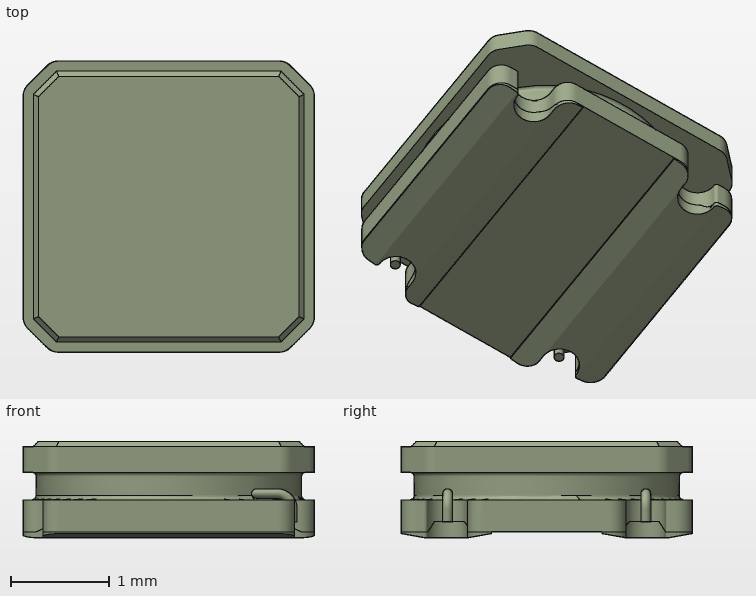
import cadquery as cq
import math


width = 2.95
half = width / 2
pad_bottom = 0.0
core_bottom = 0.062
lower_top = 0.385
upper_bottom = 0.665
upper_top = 0.925
face_top = 0.98
corner_radius = 0.162

upper_cut = 0.29
ledge = 0.103
face_cut = 0.235
face_chamfer = face_top - upper_top

notch_x = 1.24
notch_y = 1.003
notch_radius = 0.2
end_lobe_x = 1.275

post_diameter = 1.55
coil_bore = 1.6
wire_radius = 0.05
wire_gap = 0.012
wire_z = lower_top + wire_gap + wire_radius
coil_diameter = 2 * (notch_y + wire_radius)
ring_diameter = 2.69
flare = 0.04
lead_x = notch_x + 0.012
lead_bend = 0.153
lead_end = 0.162

pad_inner_y = 0.558
pad_flat = 0.42
pad_edge_z = 0.045
tab_top = 0.168
tab_thickness = 0.045
tab_top_y = 1.135
tab_top_x = 1.115
tab_foot_x = 1.342


def mirrored_quarters(quarter):
    """Join a solid in the +X +Y quarter with its mirror images."""
    pair = quarter.union(quarter.mirror("YZ"))
    return pair.union(pair.mirror("XZ")).clean()


def arc_middle(center_x, center_y, radius, degrees):
    angle = math.radians(degrees)
    return (center_x + radius * math.cos(angle), center_y + radius * math.sin(angle))


def lower_quarter(bottom, top):
    """Quarter of the lower flange outline, with its lead notch."""
    side_y = notch_y - notch_radius
    far_y = notch_y + notch_radius
    lip = end_lobe_x - notch_x
    side_center = (half - corner_radius, side_y - corner_radius)
    end_center = (end_lobe_x - corner_radius, half - corner_radius)
    return (
        cq.Workplane("XY", origin=(0, 0, bottom))
        .lineTo(half, 0)
        .lineTo(half, side_center[1])
        .threePointArc(arc_middle(*side_center, corner_radius, 45), (side_center[0], side_y))
        .lineTo(notch_x, side_y)
        .threePointArc((notch_x - notch_radius, notch_y), (notch_x, far_y))
        .threePointArc(arc_middle(notch_x, far_y + lip, lip, -45), (end_lobe_x, far_y + lip))
        .lineTo(end_lobe_x, end_center[1])
        .threePointArc(arc_middle(*end_center, corner_radius, 45), (end_center[0], half))
        .lineTo(0, half)
        .close()
        .extrude(top - bottom)
    )


def cut_corner_plate(size, corner_cut, bottom, top):
    """Square plate with 45 degree corner cuts."""
    plate = cq.Workplane("XY", origin=(0, 0, bottom)).rect(size, size).extrude(top - bottom)
    return plate.edges("|Z").chamfer(corner_cut)


def cylinder(diameter, bottom, top):
    return cq.Workplane("XY", origin=(0, 0, bottom)).circle(diameter / 2).extrude(top - bottom)


def terminal_tab():
    """Tab that lines the lower part of one notch wall, tapering away to both ends."""
    tab_height = tab_top - core_bottom
    layer_radius = notch_radius + tab_thickness
    layer_inner_y = notch_y - layer_radius
    layer_inner_x = notch_x - layer_radius
    layer = cq.Workplane("XY", origin=(notch_x, notch_y, core_bottom)).circle(layer_radius).extrude(tab_height)
    straight = (
        cq.Workplane("XY", origin=(notch_x, notch_y, core_bottom))
        .rect(2 * (tab_foot_x - notch_x), 2 * layer_radius)
        .extrude(tab_height)
    )
    end_taper = (
        cq.Workplane("YZ")
        .moveTo(layer_inner_y, core_bottom)
        .lineTo(notch_y + notch_radius, core_bottom)
        .lineTo(tab_top_y, tab_top)
        .lineTo(layer_inner_y, tab_top)
        .close()
        .extrude(half)
    )
    side_taper = (
        cq.Workplane("XZ")
        .moveTo(layer_inner_x, core_bottom)
        .lineTo(tab_foot_x, core_bottom)
        .lineTo(tab_top_x, tab_top)
        .lineTo(layer_inner_x, tab_top)
        .close()
        .extrude(-half)
    )
    wall = lower_quarter(core_bottom, tab_top)
    return layer.union(straight).intersect(wall).intersect(end_taper).intersect(side_taper)


def make_terminal():
    """Terminal on the +Y side: a strip with a bevelled underside and a tab in each notch."""
    middle_y = (pad_inner_y + half) / 2
    strip = (
        cq.Workplane("YZ", origin=(-half, 0, 0))
        .moveTo(pad_inner_y, core_bottom)
        .lineTo(pad_inner_y, pad_edge_z)
        .lineTo(middle_y - pad_flat / 2, pad_bottom)
        .lineTo(middle_y + pad_flat / 2, pad_bottom)
        .lineTo(half, pad_edge_z)
        .lineTo(half, core_bottom)
        .close()
        .extrude(width)
    )
    pad = strip.intersect(mirrored_quarters(lower_quarter(pad_bottom, core_bottom)))
    tab = terminal_tab()
    return pad.union(tab).union(tab.mirror("YZ"))


terminal = make_terminal()
terminals = [terminal, terminal.mirror("XZ")]


def make_lead():
    """Lead that leaves the coil along +X and bends down into the +X +Y notch."""
    bend_start = lead_x - lead_bend
    bend_middle = arc_middle(bend_start, wire_z - lead_bend, lead_bend, 45)
    path = (
        cq.Workplane("XZ", origin=(0, notch_y, 0))
        .moveTo(0, wire_z)
        .lineTo(bend_start, wire_z)
        .threePointArc(bend_middle, (lead_x, wire_z - lead_bend))
        .lineTo(lead_x, lead_end)
    )
    return cq.Workplane("YZ", origin=(0, notch_y, wire_z)).circle(wire_radius).sweep(path)


def make_coil():
    winding = cylinder(coil_diameter, lower_top, upper_bottom)
    winding = winding.cut(cylinder(coil_bore, lower_top, upper_bottom))
    lead = make_lead()
    return winding.union(lead).union(lead.mirror("XZ"))


coil = make_coil()


def make_ring():
    """Ring around the coil, flared where it meets the flanges, with a passage for each lead."""
    bore = coil_diameter / 2
    outer = ring_diameter / 2
    flare_outer = outer + flare
    low_z = lower_top + flare
    high_z = upper_bottom - flare
    ring = (
        cq.Workplane("XZ")
        .moveTo(bore, lower_top)
        .lineTo(flare_outer, lower_top)
        .threePointArc(arc_middle(flare_outer, low_z, flare, 225), (outer, low_z))
        .lineTo(outer, high_z)
        .threePointArc(arc_middle(flare_outer, high_z, flare, 135), (flare_outer, upper_bottom))
        .lineTo(bore, upper_bottom)
        .close()
        .revolve(360, (0, 0, 0), (0, 1, 0))
    )
    lead = make_lead()
    return ring.cut(lead).cut(lead.mirror("XZ"))


ring = make_ring()


def make_core():
    lower = mirrored_quarters(lower_quarter(core_bottom, lower_top))
    for body in terminals:
        lower = lower.cut(body)
    post = cylinder(post_diameter, lower_top, upper_bottom)
    upper = cut_corner_plate(width, upper_cut, upper_bottom, upper_top).edges("|Z").fillet(corner_radius)
    face = cut_corner_plate(width - 2 * ledge, face_cut, upper_bottom, face_top)
    face = face.faces(">Z").chamfer(face_chamfer)
    return lower.union(post).union(upper).union(face)


core = make_core()

result = cq.Compound.makeCompound(
    [core.val(), coil.val(), ring.val(), *[body.val() for body in terminals]]
)